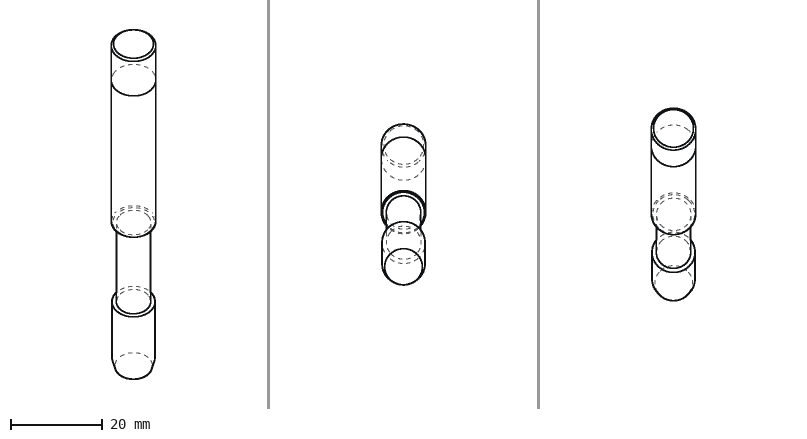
import cadquery as cq

total_length = 100.0

cap_length = 11.2
cap_chamfer = 0.5

handle_diameter = 9.7
handle_bottom = 44.6
handle_chamfer = 0.3
neck_diameter = 7.5
nose_diameter = 9.4
nose_length = 20.0
tip_diameter = 8.2
tip_length = 2.6

seam_height = total_length - cap_length


def cylinder(diameter, bottom, top):
    """Cylinder on the Z axis between two heights."""
    return cq.Workplane("XY").workplane(offset=bottom).circle(diameter / 2).extrude(top - bottom)


def make_cap():
    """End cap with a chamfered top rim."""
    return cylinder(handle_diameter, seam_height, total_length).faces(">Z").chamfer(cap_chamfer)


def make_nose():
    """Nose cylinder with a narrow conical lead-in at its lower end."""
    profile = [
        (0, 0),
        (tip_diameter / 2, 0),
        (nose_diameter / 2, tip_length),
        (nose_diameter / 2, nose_length),
        (0, nose_length),
    ]
    return cq.Workplane("XZ").polyline(profile).close().revolve(360, (0, 0), (0, 1))


def make_pin():
    """One-piece pin: nose, neck and handle up to the cap seam."""
    neck = cylinder(neck_diameter, nose_length, handle_bottom)
    handle = cylinder(handle_diameter, handle_bottom, seam_height).faces("<Z").chamfer(handle_chamfer)
    return make_nose().union(neck).union(handle)


cap = make_cap()
pin = make_pin()

result = cq.Compound.makeCompound([cap.val(), pin.val()])